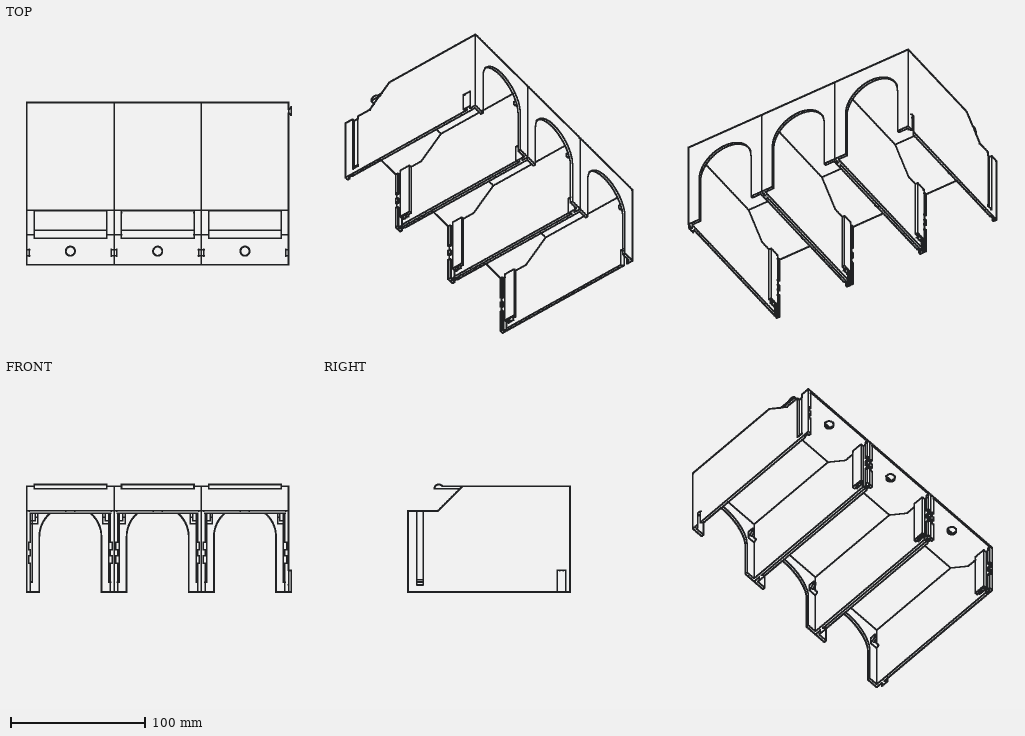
import cadquery as cq

POLE_COUNT = 3
POLE_WIDTH = 65.0
DEPTH = 121.0
HEIGHT = 78.8
WALL = 2.0

SHOULDER_HEIGHT = 60.5
SLOPE_FRONT = 22.5
SLOPE_REAR = SLOPE_FRONT + HEIGHT - SHOULDER_HEIGHT

GROOVE_WALL = 1.4
LIP_THICKNESS = 2 * GROOVE_WALL
LIP_DEPTH = 2.0
NOTCH_HEIGHT = 5.5
NOTCH_BASES = (21.5, 31.5)

OPENING_RADIUS = 23.0
OPENING_SPRING_HEIGHT = 41.2

HOLE_DIAMETER = 6.7
HOLE_FROM_FRONT = 10.2

SLOT_FRONT = 6.7
SLOT_LENGTH = 4.7
SLOT_DEPTH = WALL
SLOT_BASE = 5.3
CASING_REACH = 2 * WALL
CASING_BASE = SLOT_BASE + SLOT_DEPTH
CASING_FRONT = 5.1
CASING_LENGTH = 8.7

BRACKET_REACH = 8.3
BRACKET_BASE = 51.0
BRACKET_FLOOR = 2.2
BRACKET_SIDE = 1.8
BRACKET_DEPTH = 4.7
BRACKET_TOP = SHOULDER_HEIGHT - WALL

DOVETAIL_DEPTH = 2.0
DOVETAIL_NECK = 2.4
DOVETAIL_HEIGHT = 16.2
DOVETAIL_CENTRE = DEPTH - 6.5

FLAP_WIDTH = 54.2
FLAP_THICKNESS = 2.0
FLAP_FRONT = 19.7
FLAP_GAP = 0.5
BEAD_RADIUS = 3.3


def block(x_start, y_start, z_start, x_length, y_length, z_length):
    """Box placed by its lowest corner."""
    return cq.Workplane("XY").box(x_length, y_length, z_length, centered=False).translate(
        (x_start, y_start, z_start)
    )


def both_sides(shape):
    """Shape on the left of a pole together with its mirror image on the right."""
    mirrored = shape.mirror("YZ").translate((POLE_WIDTH, 0, 0))
    return shape.union(mirrored)


def shell():
    """Thin pole cover, open at the front and below."""
    outer = (
        cq.Workplane("YZ")
        .moveTo(0, 0)
        .lineTo(0, SHOULDER_HEIGHT)
        .lineTo(SLOPE_FRONT, SHOULDER_HEIGHT)
        .lineTo(SLOPE_REAR, HEIGHT)
        .lineTo(DEPTH, HEIGHT)
        .lineTo(DEPTH, 0)
        .close()
        .extrude(POLE_WIDTH)
    )
    open_faces = outer.faces("<Y or <Z")
    return open_faces.shell(-WALL)


def front_lip():
    """Upright lip along the front edge of a side wall."""
    return block(0, 0, 0, LIP_THICKNESS, LIP_DEPTH, SHOULDER_HEIGHT)


def lip_recesses():
    """Cutter for the groove behind the lip and the notches through the lip."""
    depth = LIP_THICKNESS - GROOVE_WALL
    groove_height = SHOULDER_HEIGHT - WALL
    recesses = block(GROOVE_WALL, LIP_DEPTH, 0, depth, CASING_FRONT - LIP_DEPTH, groove_height)
    for base in NOTCH_BASES:
        recesses = recesses.union(block(GROOVE_WALL, 0, base, depth, LIP_DEPTH, NOTCH_HEIGHT))
    return recesses


def rear_opening():
    """Cutter for the arched opening in the rear panel."""
    middle = POLE_WIDTH / 2
    return (
        cq.Workplane("XZ", origin=(0, DEPTH, 0))
        .moveTo(middle - OPENING_RADIUS, 0)
        .lineTo(middle - OPENING_RADIUS, OPENING_SPRING_HEIGHT)
        .threePointArc(
            (middle, OPENING_SPRING_HEIGHT + OPENING_RADIUS),
            (middle + OPENING_RADIUS, OPENING_SPRING_HEIGHT),
        )
        .lineTo(middle + OPENING_RADIUS, 0)
        .close()
        .extrude(WALL)
    )


def screw_hole():
    """Cutter for the hole through the shoulder."""
    return (
        cq.Workplane("XY", origin=(POLE_WIDTH / 2, HOLE_FROM_FRONT, SHOULDER_HEIGHT))
        .circle(HOLE_DIAMETER / 2)
        .extrude(-WALL)
    )


def slot_casing():
    """Solid rib on the inner side of a wall that encloses the slot."""
    height = SHOULDER_HEIGHT - CASING_BASE
    return block(0, CASING_FRONT, CASING_BASE, CASING_REACH, CASING_LENGTH, height)


def wall_slot():
    """Cutter for a slot whose floor ramps inward at 45 degrees to its lower mouth."""
    return (
        cq.Workplane("XZ", origin=(0, SLOT_FRONT + SLOT_LENGTH, 0))
        .moveTo(0, SLOT_BASE)
        .lineTo(CASING_REACH, SLOT_BASE)
        .lineTo(CASING_REACH, CASING_BASE)
        .lineTo(SLOT_DEPTH, CASING_BASE + SLOT_DEPTH)
        .lineTo(SLOT_DEPTH, SHOULDER_HEIGHT)
        .lineTo(0, SHOULDER_HEIGHT)
        .close()
        .extrude(SLOT_LENGTH)
    )


def bracket():
    """L-section bracket on the rear panel with a 45 degree underside."""
    panel_face = DEPTH - WALL
    wedge = (
        cq.Workplane("YZ")
        .moveTo(panel_face, BRACKET_BASE)
        .lineTo(panel_face - BRACKET_DEPTH, BRACKET_BASE + BRACKET_DEPTH)
        .lineTo(panel_face - BRACKET_DEPTH, BRACKET_TOP)
        .lineTo(panel_face, BRACKET_TOP)
        .close()
        .extrude(BRACKET_REACH)
    )
    channel_base = BRACKET_BASE + BRACKET_FLOOR
    channel = block(
        0,
        panel_face - BRACKET_DEPTH,
        channel_base,
        BRACKET_REACH - BRACKET_SIDE,
        BRACKET_DEPTH,
        BRACKET_TOP - channel_base,
    )
    return wedge.cut(channel)


def dovetail():
    """Dovetail that widens at 45 degrees in +X from the plane X = 0."""
    neck_half = DOVETAIL_NECK / 2
    end_half = neck_half + DOVETAIL_DEPTH
    return (
        cq.Workplane("XY", origin=(0, DOVETAIL_CENTRE, 0))
        .moveTo(0, -neck_half)
        .lineTo(DOVETAIL_DEPTH, -end_half)
        .lineTo(DOVETAIL_DEPTH, end_half)
        .lineTo(0, neck_half)
        .close()
        .extrude(DOVETAIL_HEIGHT)
    )


def make_housing():
    """One pole cover with a dovetail slot on its left and a dovetail on its right."""
    housing = shell().union(both_sides(front_lip())).cut(both_sides(lip_recesses()))
    housing = housing.union(both_sides(slot_casing())).cut(both_sides(wall_slot()))
    housing = housing.union(both_sides(bracket()))
    housing = housing.cut(rear_opening()).cut(screw_hole())
    housing = housing.cut(dovetail())
    return housing.union(dovetail().translate((POLE_WIDTH, 0, 0)))


def make_flap():
    """Flat finger flap resting on the slope, stepped clear of the roof edge, with a rounded front bead."""
    underside = HEIGHT - FLAP_THICKNESS
    plate = (
        cq.Workplane("YZ")
        .moveTo(FLAP_FRONT + BEAD_RADIUS, underside)
        .lineTo(SLOPE_REAR - FLAP_THICKNESS, underside)
        .lineTo(SLOPE_REAR - FLAP_GAP, HEIGHT - FLAP_GAP)
        .lineTo(SLOPE_REAR - FLAP_GAP, HEIGHT)
        .lineTo(FLAP_FRONT + BEAD_RADIUS, HEIGHT)
        .close()
        .extrude(FLAP_WIDTH)
    )
    bead = (
        cq.Workplane("YZ")
        .moveTo(FLAP_FRONT, underside)
        .threePointArc(
            (FLAP_FRONT + BEAD_RADIUS, underside + BEAD_RADIUS),
            (FLAP_FRONT + 2 * BEAD_RADIUS, underside),
        )
        .close()
        .extrude(FLAP_WIDTH)
    )
    flap = plate.union(bead)
    return flap.translate(((POLE_WIDTH - FLAP_WIDTH) / 2, 0, 0))


housing = make_housing()
flap = make_flap()

bodies = []
for pole in range(POLE_COUNT):
    offset = (pole * POLE_WIDTH, 0, 0)
    bodies.append(housing.translate(offset).solids().val())
    bodies.append(flap.translate(offset).solids().val())

result = cq.Compound.makeCompound(bodies)